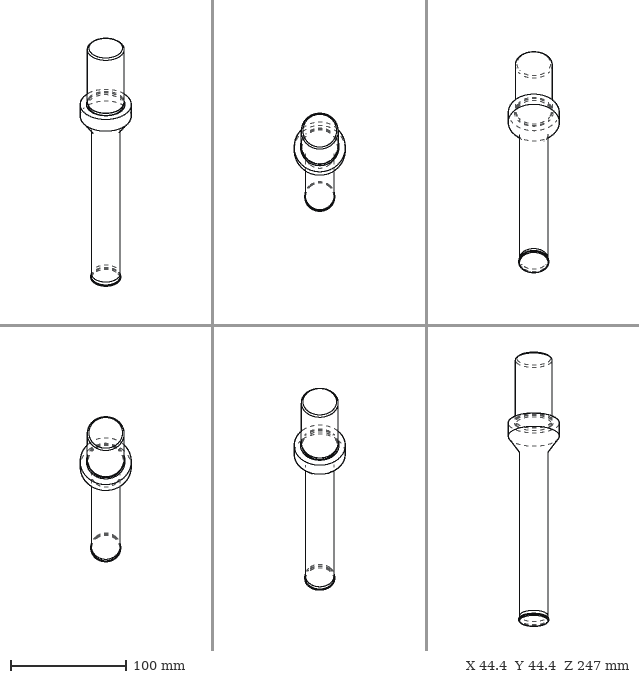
import cadquery as cq

total_height = 247.0
collar_top = 186.5
collar_bottom = 174.0
cone_bottom = 160.5
stem_blend_top = 158.3
stem_bottom = 4.7

shank_radius = 16.0
shank_chamfer = 1.5
shank_bottom = 188.0
undercut_radius = 15.3
undercut_chamfer = shank_radius - undercut_radius

relief_radius = 16.8
relief_depth = 0.7

collar_radius = 22.2
stem_radius = 12.47
cone_end_radius = 13.0

neck_end_radius = 12.5
lip_radius = 13.0
lip_top = 1.7
lip_chamfer = 0.7


def revolve_profile(profile):
    """Close a half profile lying in the XZ plane and turn it about the Z axis."""
    return profile.close().revolve(360, (0, 0, 0), (0, 1, 0))


def make_holder():
    """Shank, undercut collar, cone and long stem turned as one piece."""
    profile = (
        cq.Workplane("XZ")
        .moveTo(0, stem_bottom)
        .lineTo(stem_radius, stem_bottom)
        .lineTo(stem_radius, stem_blend_top)
        .tangentArcPoint((cone_end_radius, cone_bottom), relative=False)
        .lineTo(collar_radius, collar_bottom)
        .lineTo(collar_radius, collar_top)
        .lineTo(relief_radius, collar_top)
        .lineTo(undercut_radius, collar_top - relief_depth)
        .lineTo(undercut_radius, shank_bottom)
        .lineTo(shank_radius, shank_bottom + undercut_chamfer)
        .lineTo(shank_radius, total_height - shank_chamfer)
        .lineTo(shank_radius - shank_chamfer, total_height)
        .lineTo(0, total_height)
    )
    return revolve_profile(profile)


def make_cutting_head():
    """Slightly tapered disc under the stem, ending in a chamfered lip."""
    profile = (
        cq.Workplane("XZ")
        .lineTo(lip_radius - lip_chamfer, 0)
        .lineTo(lip_radius, lip_chamfer)
        .lineTo(lip_radius, lip_top)
        .lineTo(neck_end_radius, lip_top)
        .lineTo(stem_radius, stem_bottom)
        .lineTo(0, stem_bottom)
    )
    return revolve_profile(profile)


holder = make_holder()
cutting_head = make_cutting_head()

result = cq.Compound.makeCompound([holder.val(), cutting_head.val()])